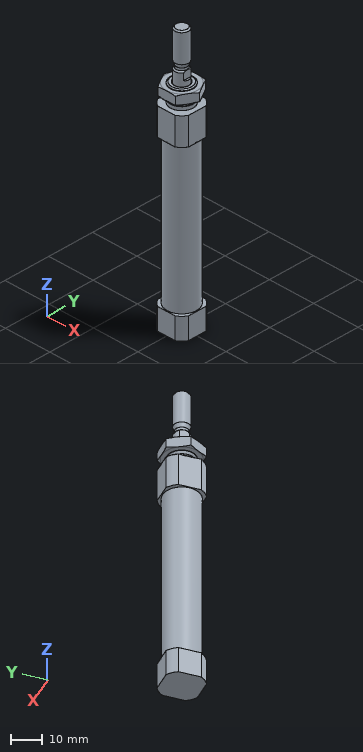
import cadquery as cq
import math

TOTAL_LENGTH = 115.2
ACROSS_FLATS = 14.0
FULL_DIAMETER = 16.1

TUBE_DIAMETER = 13.2
CAP_TOP = 9.6
HEAD_BOTTOM = 74.1
HEAD_TOP = 86.2
COLLAR_DIAMETER = 10.0
COLLAR_TOP = 87.7
RELIEF_FOOT_DIAMETER = 9.2
RELIEF_DIAMETER = 8.9
RELIEF_BOTTOM = 88.4
RELIEF_TOP = 88.8
NOSE_SHOULDER = 89.9
NOSE_DIAMETER = 10.0
NOSE_TIP_DIAMETER = 8.9
NOSE_TOP = 94.1
NOSE_CHAMFER = (NOSE_DIAMETER - NOSE_TIP_DIAMETER) / 2
BORE_COUNTERSINK = 0.3

ROD_DIAMETER = 6.0
ROD_TIP_DIAMETER = 4.8
ROD_TIP_CHAMFER = (ROD_DIAMETER - ROD_TIP_DIAMETER) / 2
ROD_BOTTOM = HEAD_BOTTOM
NECK_DIAMETER = 4.8
NECK_STEP = (ROD_DIAMETER - NECK_DIAMETER) / 2
NECK_BOTTOM = 99.8
NECK_TOP = 100.8
THREAD_RUNOUT = 1.6
WRENCH_FLATS = 5.0
WRENCH_FLAT_BOTTOM = 96.0
WRENCH_SLOPE_HEIGHT = 0.3

NUT_BOTTOM = 89.7
NUT_HEIGHT = 4.0
NUT_FACE_DIAMETER = 13.8
NUT_CHAMFER_ANGLE = 15.0


def cylinder(diameter, bottom, top):
    """Upright cylinder on the Z axis between two heights."""
    return cq.Workplane("XY").workplane(offset=bottom).circle(diameter / 2).extrude(top - bottom)


def revolve_profile(points):
    """Solid of revolution about Z from (radius, height) points."""
    return cq.Workplane("XZ").polyline(points).close().revolve(360, (0, 0, 0), (0, 1, 0))


def end_block(bottom, top):
    """Square block whose corners are rounded by a coaxial cylinder."""
    square = (
        cq.Workplane("XY")
        .workplane(offset=bottom)
        .rect(ACROSS_FLATS, ACROSS_FLATS)
        .extrude(top - bottom)
    )
    return square.intersect(cylinder(FULL_DIAMETER, bottom, top))


def make_nose():
    """Collar, relief groove and chamfered nose on top of the head."""
    return revolve_profile([
        (0, HEAD_TOP),
        (COLLAR_DIAMETER / 2, HEAD_TOP),
        (COLLAR_DIAMETER / 2, COLLAR_TOP),
        (RELIEF_FOOT_DIAMETER / 2, COLLAR_TOP),
        (RELIEF_DIAMETER / 2, RELIEF_BOTTOM),
        (RELIEF_DIAMETER / 2, RELIEF_TOP),
        (NOSE_DIAMETER / 2, NOSE_SHOULDER),
        (NOSE_DIAMETER / 2, NOSE_TOP - NOSE_CHAMFER),
        (NOSE_TIP_DIAMETER / 2, NOSE_TOP),
        (0, NOSE_TOP),
    ])


def make_bore():
    """Cutter for the rod bore with a countersunk mouth."""
    radius = ROD_DIAMETER / 2
    return revolve_profile([
        (0, ROD_BOTTOM),
        (radius, ROD_BOTTOM),
        (radius, NOSE_TOP - BORE_COUNTERSINK),
        (radius + BORE_COUNTERSINK, NOSE_TOP),
        (0, NOSE_TOP),
    ])


def make_housing():
    """Tube with two end blocks, a mounting nose and the rod bore."""
    tube = cylinder(TUBE_DIAMETER, CAP_TOP, HEAD_BOTTOM)
    body = end_block(0, CAP_TOP).union(tube).union(end_block(HEAD_BOTTOM, HEAD_TOP))
    return body.union(make_nose()).cut(make_bore())


def make_rod():
    """Stepped rod with a necked thread end and two wrench flats facing X."""
    radius = ROD_DIAMETER / 2
    neck_radius = NECK_DIAMETER / 2
    rod = revolve_profile([
        (0, ROD_BOTTOM),
        (radius, ROD_BOTTOM),
        (radius, NECK_BOTTOM - NECK_STEP),
        (neck_radius, NECK_BOTTOM),
        (neck_radius, NECK_TOP),
        (radius, NECK_TOP + THREAD_RUNOUT),
        (radius, TOTAL_LENGTH - ROD_TIP_CHAMFER),
        (ROD_TIP_DIAMETER / 2, TOTAL_LENGTH),
        (0, TOTAL_LENGTH),
    ])
    flat_offset = WRENCH_FLATS / 2
    for side in (-1, 1):
        cutter = (
            cq.Workplane("XZ")
            .polyline([
                (side * flat_offset, NECK_BOTTOM),
                (side * flat_offset, WRENCH_FLAT_BOTTOM + WRENCH_SLOPE_HEIGHT),
                (side * radius, WRENCH_FLAT_BOTTOM),
                (side * ROD_DIAMETER, WRENCH_FLAT_BOTTOM),
                (side * ROD_DIAMETER, NECK_BOTTOM),
            ])
            .close()
            .extrude(radius, both=True)
        )
        rod = rod.cut(cutter)
    return rod


def make_nut():
    """Hexagon nut on the nose, conically chamfered on both faces."""
    corner_radius = FULL_DIAMETER / 2
    face_radius = NUT_FACE_DIAMETER / 2
    top = NUT_BOTTOM + NUT_HEIGHT
    drop = (corner_radius - face_radius) * math.tan(math.radians(NUT_CHAMFER_ANGLE))
    hexagon = (
        cq.Workplane("XY")
        .workplane(offset=NUT_BOTTOM)
        .polygon(6, FULL_DIAMETER)
        .extrude(NUT_HEIGHT)
    )
    envelope = revolve_profile([
        (0, NUT_BOTTOM),
        (face_radius, NUT_BOTTOM),
        (corner_radius, NUT_BOTTOM + drop),
        (corner_radius, top - drop),
        (face_radius, top),
        (0, top),
    ])
    return hexagon.intersect(envelope).cut(cylinder(NOSE_DIAMETER, NUT_BOTTOM, top))


housing = make_housing()
rod = make_rod()
nut = make_nut()
result = cq.Compound.makeCompound([housing.val(), rod.val(), nut.val()])